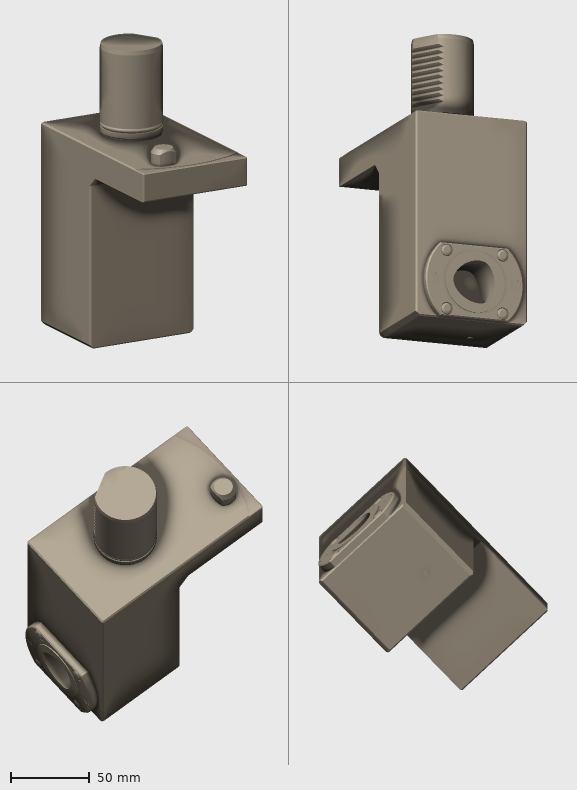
import cadquery as cq
import math


body_width = 76.0
body_height = 134.0
body_left = -49.8
column_right = 13.8
arm_right = 82.0
arm_thickness = 19.5
inner_corner_leg = 6.5
edge_chamfer = 1.0
bottom_edge_chamfer = 3.0
top_pad_radius = 80.0
top_pad_step = 0.49

shank_radius = 20.0
shank_height = 60.0
shank_top_chamfer_height = 3.0
shank_top_chamfer_inset = 0.5
undercut_radius = 19.5
undercut_height = 1.4
undercut_cone_height = 0.5
ring_radius = 1.5
ring_height = 6.8
ring_groove_radius = 18.3

flat_angle = 120
flat_distance = 17.1
flat_bottom = 13.2
tooth_depth = 1.85
tooth_count = 10
first_tooth_height = 51.5
last_tooth_height = 15.5
tooth_pitch = (first_tooth_height - last_tooth_height) / (tooth_count - 1)

pin_x = 67.9
pin_y = -15.2
pin_radius = 8.2
pin_height = 10.5
pin_embedded_depth = 9.7
pin_width = 13.6
pin_side_radius = 16.0
pin_chamfer_height = 3.1
pin_chamfer_inset = 2.1

flange_radius = 33.3
flange_half_height = 24.0
flange_thickness = 5.5
flange_chamfer = 0.8
flange_front = body_left - flange_thickness
flange_axis_z = flange_half_height - body_height
nose_diameter = 40.0
nose_height = 0.5
screw_spacing = 38.1
screw_hole_diameter = 8.0
screw_hole_depth = 3.0
screw_head_diameter = 7.2
screw_crown_diameter = 4.5
dowel_spacing = 56.0
dowel_diameter = 7.2
dowel_recess = 0.2

socket_mean_radius = 14.0
socket_eccentricity = 0.88
socket_depth = 25.0
socket_taper_ratio = 1 / 40
socket_lobes = 3
socket_curve_points = 48

plug_x = -7.5
plug_y = -16.0
plug_diameter = 3.9
plug_height = 0.5


def facing_socket(x):
    """Sketch plane at the given X on the flange axis, seen from -X with Z up."""
    return cq.Workplane(cq.Plane((x, 0, flange_axis_z), (0, -1, 0), (-1, 0, 0)))


def make_body():
    corner_x = column_right + inner_corner_leg
    corner_z = -arm_thickness - inner_corner_leg
    body = (
        cq.Workplane("XZ")
        .moveTo(body_left, 0)
        .lineTo(arm_right, 0)
        .lineTo(arm_right, -arm_thickness)
        .lineTo(corner_x, -arm_thickness)
        .lineTo(column_right, corner_z)
        .lineTo(column_right, -body_height)
        .lineTo(body_left, -body_height)
        .close()
        .extrude(body_width / 2, both=True)
    )
    body = body.faces("<Z").edges("|X").chamfer(bottom_edge_chamfer)
    body = body.edges("|Z").chamfer(edge_chamfer)
    body = body.faces("<Z").edges("|Y").chamfer(edge_chamfer)
    body = body.faces(">X").edges("<Z").chamfer(edge_chamfer)
    body = body.faces(">Z").edges().chamfer(edge_chamfer)

    step = (
        cq.Workplane("XY")
        .center(arm_right / 2, 0)
        .rect(arm_right, body_width)
        .extrude(-top_pad_step)
        .cut(cq.Workplane("XY").circle(top_pad_radius).extrude(-top_pad_step))
    )
    return body.cut(step)


def make_tooth_cutter():
    """Flat with V grooves, built on the +X side and turned to its angle."""
    run_out = shank_radius - flat_distance
    profile = cq.Workplane("XZ").moveTo(flat_distance, flat_bottom)
    for index in reversed(range(tooth_count)):
        root_z = first_tooth_height - index * tooth_pitch
        profile = (
            profile.lineTo(flat_distance, root_z - tooth_depth)
            .lineTo(flat_distance - tooth_depth, root_z)
            .lineTo(flat_distance, root_z + tooth_depth)
        )
    cutter = (
        profile.lineTo(flat_distance, shank_height)
        .lineTo(shank_radius, shank_height)
        .lineTo(shank_radius, flat_bottom - run_out)
        .close()
        .extrude(shank_radius, both=True)
    )
    return cutter.rotate((0, 0, 0), (0, 0, 1), flat_angle)


def make_shank():
    groove_bottom = ring_height - ring_radius
    groove_top = ring_height + ring_radius
    shank = (
        cq.Workplane("XZ")
        .lineTo(undercut_radius, 0)
        .lineTo(undercut_radius, undercut_height)
        .lineTo(shank_radius, undercut_height + undercut_cone_height)
        .lineTo(shank_radius, groove_bottom)
        .lineTo(ring_groove_radius, groove_bottom)
        .lineTo(ring_groove_radius, groove_top)
        .lineTo(shank_radius, groove_top)
        .lineTo(shank_radius, shank_height - shank_top_chamfer_height)
        .lineTo(shank_radius - shank_top_chamfer_inset, shank_height)
        .lineTo(0, shank_height)
        .close()
        .revolve(360, (0, 0), (0, 1))
    )
    ring_centre_radius = shank_radius - ring_radius
    seal_ring = (
        cq.Workplane("XZ")
        .center(ring_centre_radius, ring_height)
        .circle(ring_radius)
        .revolve(360, (-ring_centre_radius, 0), (-ring_centre_radius, 1))
    )
    return shank.cut(make_tooth_cutter()).union(seal_ring)


def make_locating_pin():
    pin = (
        cq.Workplane("XZ")
        .moveTo(0, -pin_embedded_depth)
        .lineTo(pin_radius, -pin_embedded_depth)
        .lineTo(pin_radius, pin_height - pin_chamfer_height)
        .lineTo(pin_radius - pin_chamfer_inset, pin_height)
        .lineTo(0, pin_height)
        .close()
        .revolve(360, (0, 0), (0, 1))
    )
    side_offset = pin_side_radius - pin_width / 2
    for offset in (-side_offset, side_offset):
        side = cq.Workplane("XY").center(offset, 0).circle(pin_side_radius).extrude(pin_height, both=True)
        pin = pin.intersect(side)
    return pin.translate((pin_x, pin_y, 0))


def socket_outline(mean_radius):
    """Three-lobed curve of constant width with one lobe towards +Y."""
    points = []
    for index in range(socket_curve_points):
        angle = 2 * math.pi * index / socket_curve_points
        reach = mean_radius + socket_eccentricity * math.cos(socket_lobes * angle)
        slope = -socket_lobes * socket_eccentricity * math.sin(socket_lobes * angle)
        across = reach * math.cos(angle) - slope * math.sin(angle)
        up = reach * math.sin(angle) + slope * math.cos(angle)
        points.append((-across, up))
    return points


def make_socket():
    floor_radius = socket_mean_radius - socket_depth * socket_taper_ratio
    return (
        facing_socket(flange_front - nose_height)
        .spline(socket_outline(socket_mean_radius), periodic=True)
        .close()
        .workplane(offset=-socket_depth)
        .spline(socket_outline(floor_radius), periodic=True)
        .close()
        .loft(combine=True)
    )


def make_flange():
    flat_limits = facing_socket(body_left).rect(2 * flange_radius, 2 * flange_half_height)
    flange = (
        facing_socket(body_left)
        .circle(flange_radius)
        .extrude(flange_thickness)
        .intersect(flat_limits.extrude(flange_thickness))
        .faces("<X")
        .chamfer(flange_chamfer)
    )
    nose = facing_socket(flange_front).circle(nose_diameter / 2).extrude(nose_height)
    screw_holes = (
        facing_socket(flange_front)
        .rect(screw_spacing, screw_spacing, forConstruction=True)
        .vertices()
        .circle(screw_hole_diameter / 2)
        .extrude(-screw_hole_depth)
    )
    dowel_recesses = (
        facing_socket(flange_front)
        .rarray(dowel_spacing, 2, 2, 1)
        .circle(dowel_diameter / 2)
        .extrude(-dowel_recess)
    )
    return flange.cut(screw_holes).cut(dowel_recesses).union(nose)


def make_screw_heads():
    """Cap screws whose coned crowns stand level with the nose."""
    hole_floor = cq.Vector(0, 0, -screw_hole_depth)
    head = cq.Solid.makeCylinder(screw_head_diameter / 2, screw_hole_depth, hole_floor)
    crown = cq.Solid.makeCone(screw_head_diameter / 2, screw_crown_diameter / 2, nose_height)
    screw = head.fuse(crown)
    return (
        facing_socket(flange_front)
        .rect(screw_spacing, screw_spacing, forConstruction=True)
        .vertices()
        .eachpoint(lambda place: screw.moved(place), useLocalCoordinates=True)
    )


def make_plug():
    return (
        cq.Workplane("XY", origin=(plug_x, plug_y, -body_height))
        .circle(plug_diameter / 2)
        .extrude(-plug_height)
    )


result = (
    make_body()
    .union(make_shank())
    .union(make_locating_pin())
    .union(make_flange())
    .union(make_screw_heads())
    .union(make_plug())
    .cut(make_socket())
)